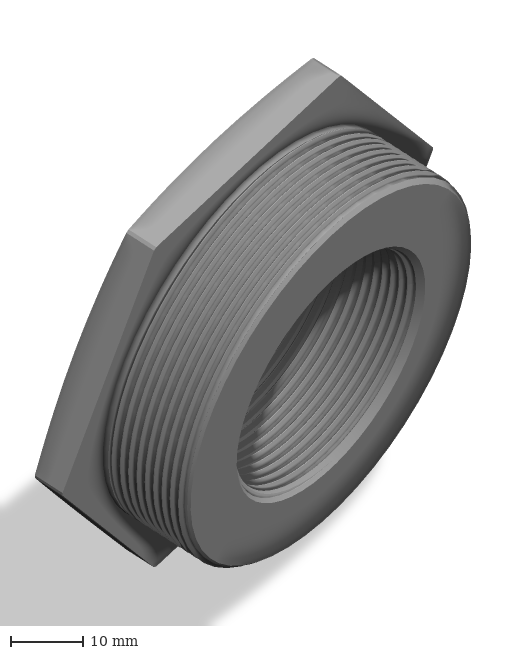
import cadquery as cq
import math

across_flats = 70.0
corner_diameter = 80.5
flange_thickness = 6.0
face_chamfer_depth = 1.0

total_length = 21.0
neck_length = 1.0
thread_start = flange_thickness + neck_length

pitch = 1.5
flank_slope = math.tan(math.radians(30))
crest_width = 0.1

outer_diameter = 63.0
outer_thread_depth = 0.65
outer_groove_x = 6.1
end_chamfer = 1.0

bore_diameter = 38.4
inner_groove_x = 0.1
inner_thread_depth = 0.8
mouth_diameter = 41.0

cutter_overlap = 0.1
ring_overlap = 1.0


def cylinder(diameter, start, end):
    """Round bar along X."""
    return cq.Workplane("YZ", origin=(start, 0, 0)).circle(diameter / 2).extrude(end - start)


def cone(start_diameter, end_diameter, start, end):
    """Round tapered bar along X."""
    along_x = cq.Vector(1, 0, 0)
    solid = cq.Solid.makeCone(
        start_diameter / 2, end_diameter / 2, end - start, cq.Vector(start, 0, 0), along_x
    )
    return cq.Workplane(obj=solid)


def groove_turn(start, root_radius, crest_radius):
    """One turn of a thread groove, which begins at +Y centred on x = start."""
    depth = abs(crest_radius - root_radius)
    root_width = pitch - crest_width - 2 * depth * flank_slope
    towards_crest = math.copysign(1, crest_radius - root_radius)
    mouth_radius = crest_radius + towards_crest * cutter_overlap
    mouth_width = root_width + 2 * (depth + cutter_overlap) * flank_slope
    outline = [
        (root_radius, -root_width / 2),
        (root_radius, root_width / 2),
        (mouth_radius, mouth_width / 2),
        (mouth_radius, -mouth_width / 2),
    ]
    helix = cq.Workplane(obj=cq.Wire.makeHelix(pitch, pitch, crest_radius))
    turn = cq.Workplane("XZ").polyline(outline).close().sweep(helix, isFrenet=True)
    return turn.rotate((0, 0, 0), (1, 1, 1), 120).translate((start, 0, 0))


def cut_thread(blank, groove_x, start, end, root_radius, crest_radius):
    """Cut a groove turn by turn so that it runs out of both ends of the blank."""
    first_turn = math.floor((start - groove_x) / pitch) - 1
    last_turn = math.ceil((end - groove_x) / pitch)
    for turn in range(first_turn, last_turn + 1):
        groove = groove_turn(groove_x + turn * pitch, root_radius, crest_radius)
        blank = blank.cut(groove, clean=False)
    return blank


def make_flange():
    """Hexagon with turned corners and a shallow conical chamfer on its face."""
    corner_on_y = cq.Workplane("YZ").transformed(rotate=(0, 0, 30))
    hexagon = corner_on_y.polygon(6, across_flats, circumscribed=True).extrude(flange_thickness)
    face_cone = cone(across_flats, corner_diameter, 0, face_chamfer_depth)
    corner_round = cylinder(corner_diameter, face_chamfer_depth, flange_thickness)
    return hexagon.intersect(face_cone.union(corner_round))


def make_threaded_shank():
    """External thread with a chamfered free end."""
    crest_radius = outer_diameter / 2
    shank = cut_thread(
        cylinder(outer_diameter, thread_start, total_length),
        outer_groove_x,
        thread_start,
        total_length,
        crest_radius - outer_thread_depth,
        crest_radius,
    )
    chamfer_start = total_length - end_chamfer
    chamfer_ring = cylinder(outer_diameter + ring_overlap, chamfer_start, total_length).cut(
        cone(outer_diameter, outer_diameter - 2 * end_chamfer, chamfer_start, total_length)
    )
    return shank.cut(chamfer_ring, clean=False)


def cut_threaded_bore(body):
    """Internal thread through the part, countersunk at both ends."""
    crest_radius = bore_diameter / 2
    body = body.cut(cylinder(bore_diameter, 0, total_length), clean=False)
    body = cut_thread(
        body,
        inner_groove_x,
        0,
        total_length,
        crest_radius + inner_thread_depth,
        crest_radius,
    )
    mouth_depth = (mouth_diameter - bore_diameter) / 2
    front_mouth = cone(mouth_diameter, bore_diameter, 0, mouth_depth)
    rear_mouth = cone(bore_diameter, mouth_diameter, total_length - mouth_depth, total_length)
    return body.cut(front_mouth, clean=False).cut(rear_mouth, clean=False)


neck = cylinder(outer_diameter, flange_thickness, thread_start)
body = make_flange().union(neck).union(make_threaded_shank(), clean=False)
result = cut_threaded_bore(body)